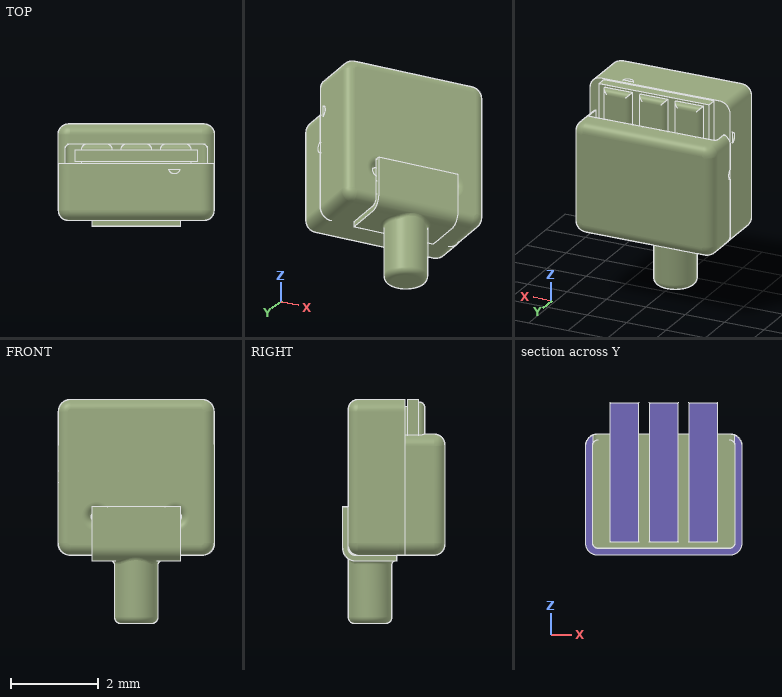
import cadquery as cq
import math


cover_width = 3.56
cover_height = 3.56
cover_depth = 1.17
plate_thickness = 0.13
corner_radius = 0.28
cover_edge_radius = 0.23
split_y = cover_depth + plate_thickness

case_width = 3.58
case_height = 2.77
case_depth = 0.91
case_edge_radius = 0.25

cavity_width = 3.25
cavity_reach = 0.45
cavity_corner_radius = 0.12
cavity_floor_z = (case_width - cavity_width) / 2
roof_thickness = 0.14

spacer_width = 2.49
spacer_thickness = 0.05
spacer_top = 3.40
board_width = 2.80
board_thickness = 0.26
pad_width = 0.70
pad_height = 0.14
pad_pitch = 0.90
pad_count = 3
pad_top = 3.50
pad_edge_radius = 0.13

hole_radius = 0.13
hole_rim_radius = 0.20
hole_spacing = 1.80
hole_z = 0.88
hole_depth = 0.22

notch_radius = 0.135
notch_reach = 0.10
notch_depth = 0.06
top_notch_x = 0.87
cover_notch_z = 2.65
case_notch_z = 1.79

clip_width = 2.03
clip_thickness = 0.13
clip_top = 1.11
clip_foot_length = 1.11
clip_bend_radius = 0.30

peg_diameter = 1.00
peg_y = 0.50
peg_bottom = -1.56
peg_end_radius = 0.15
peg_root_radius = 0.08

root_margin = 0.01


def box(width, y_start, y_end, z_start, z_end):
    """Box centred on X between the given Y and Z limits."""
    return (
        cq.Workplane("XY")
        .box(width, y_end - y_start, z_end - z_start, centered=(True, False, False))
        .translate((0, y_start, z_start))
    )


def make_notch(start, direction):
    """Short cylinder that cuts a notch inward from a face."""
    cutter = cq.Solid.makeCylinder(notch_radius, notch_depth, cq.Vector(start), cq.Vector(direction))
    return cq.Workplane(cutter)


def make_rounded_hole(x):
    """Hole to be cut from the cover face, flaring out to a tangent rounded rim."""
    rim = hole_radius + hole_rim_radius
    middle = hole_rim_radius * (1 - math.sqrt(0.5))
    return (
        cq.Workplane("XY")
        .lineTo(rim, 0)
        .threePointArc((hole_radius + middle, middle), (hole_radius, hole_rim_radius))
        .lineTo(hole_radius, hole_depth)
        .lineTo(0, hole_depth)
        .close()
        .revolve(360, (0, 0, 0), (0, 1, 0))
        .translate((x, 0, hole_z))
    )


def make_cover():
    body = box(cover_width, 0, cover_depth, 0, cover_height).edges("|Y").fillet(corner_radius)
    body = body.faces("<Y").edges().fillet(cover_edge_radius)
    notch_y = cover_depth - notch_reach + notch_radius
    body = body.cut(make_notch((-cover_width / 2, notch_y, cover_notch_z), (1, 0, 0)))
    body = body.cut(make_notch((top_notch_x, notch_y, cover_height), (0, 0, -1)))
    for side in (-1, 1):
        body = body.cut(make_rounded_hole(side * hole_spacing / 2))
    return body


def make_plate():
    return box(cover_width, cover_depth, split_y, 0, cover_height).edges("|Y").fillet(corner_radius)


def make_cavity():
    """Cavity open at the front, rounded along its floor and roof sides."""
    roof_z = case_height - roof_thickness
    cavity = box(cavity_width, split_y, split_y + cavity_reach, cavity_floor_z, roof_z)
    return cavity.edges("|Y").fillet(cavity_corner_radius)


def make_slot():
    """Slot through the roof, rounded at its back corners and reaching below the rounded roof sides."""
    slot_bottom = case_height - roof_thickness - cavity_corner_radius
    slot = box(cavity_width, split_y, split_y + cavity_reach, slot_bottom, case_height)
    return slot.edges("|Z and >Y").fillet(cavity_corner_radius)


def make_case():
    back_y = split_y + case_depth
    body = box(case_width, split_y, back_y, 0, case_height).edges("|Y").fillet(corner_radius)
    body = body.faces(">Y").edges().fillet(case_edge_radius)
    notch_y = split_y + notch_reach - notch_radius
    body = body.cut(make_notch((-case_width / 2, notch_y, case_notch_z), (1, 0, 0)))
    return body.cut(make_cavity(), clean=False).cut(make_slot(), clean=False)


def make_contacts():
    contacts_bottom = cavity_floor_z + cavity_corner_radius
    board_y = split_y + spacer_thickness
    pad_y = board_y + board_thickness
    body = box(spacer_width, split_y, board_y, contacts_bottom, spacer_top)
    body = body.union(box(board_width, board_y, pad_y, contacts_bottom, cover_height))
    for index in range(pad_count):
        x = (index - (pad_count - 1) / 2) * pad_pitch
        pad = box(pad_width, pad_y, pad_y + pad_height, contacts_bottom, pad_top)
        pad = pad.faces(">Y").edges().fillet(pad_edge_radius)
        body = body.union(pad.translate((x, 0, 0)))
    return body


def make_clip_and_peg():
    clip = box(clip_width, -clip_thickness, clip_foot_length, -clip_thickness, clip_top)
    clip = clip.edges("|X and <Y and <Z").fillet(clip_bend_radius)
    inside = box(clip_width, 0, clip_foot_length, 0, clip_top)
    inside = inside.edges("|X and <Y and <Z").fillet(clip_bend_radius - clip_thickness)
    clip = clip.cut(inside)
    peg = (
        cq.Workplane("XY", origin=(0, peg_y, peg_bottom))
        .circle(peg_diameter / 2)
        .extrude(-peg_bottom)
        .faces("<Z")
        .edges()
        .fillet(peg_end_radius)
    )
    peg = peg.cut(inside)
    body = clip.union(peg)
    root = cq.selectors.BoxSelector(
        (-peg_diameter / 2, -clip_thickness, -clip_thickness - root_margin),
        (peg_diameter / 2, clip_foot_length - root_margin, -root_margin),
    )
    return body.edges(root).edges("not |X").fillet(peg_root_radius)


result = make_cover()
for piece in (make_plate(), make_case(), make_contacts(), make_clip_and_peg()):
    result = result.union(piece, clean=False)